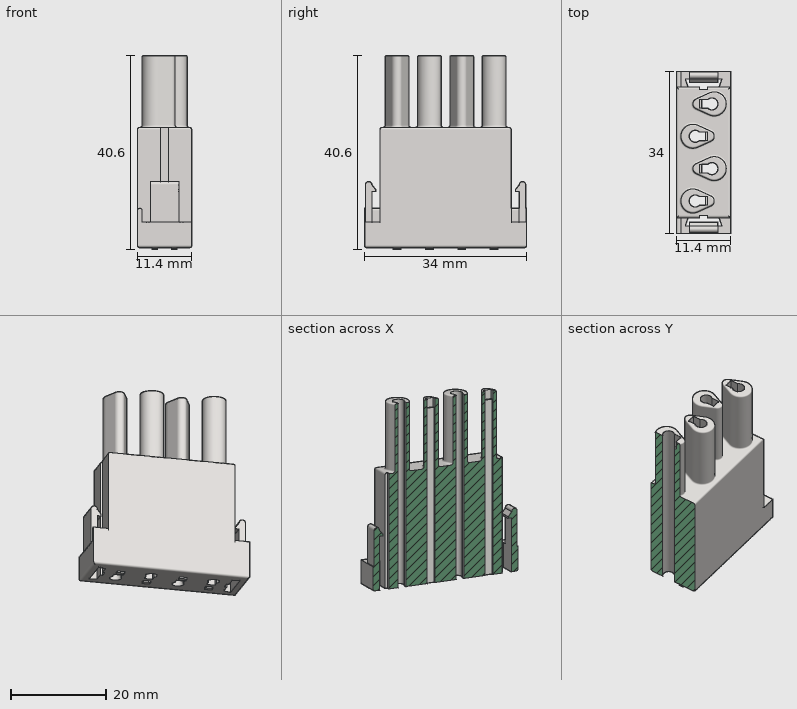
import cadquery as cq
import math

width = 11.4
length = 34.0
height = 40.6

pad_height = 0.32
body_top = 25.58
floor_level = 5.72
rail_top = 8.6

body_length = 27.53
top_round = 0.53
bottom_round = 0.5
rail_width = 1.0

pin_count = 4
pin_pitch = 6.8
sleeve_radius = 2.5
sleeve_offset = 2.25
tip_radius = 1.15
tip_distance = 3.33
sleeve_top_round = 0.32
sleeve_base_round = 0.35

bore_diameter = 2.48
bore_shift = 0.5
slot_height = 1.8
slot_end = 3.05
ledge_length = 0.45
ledge_depth = 2.05

groove_width = 1.62
opening_outer_width = 7.65
opening_inner_width = 6.5

latch_width = 5.95
latch_outer = 16.8
latch_inner = 15.4
latch_tip = 14.6
latch_top = 14.2
latch_top_radius = 0.7
hook_bottom = 12.1
hook_top = 12.5

pad_width = 1.15
pad_length = 1.62
pad_offset = 2.05

half_width = width / 2
half_body = body_length / 2
half_length = length / 2


def block(x_min, x_max, y_min, y_max, z_min, z_max):
    """Box given by its limits along each axis."""
    size = (x_max - x_min, y_max - y_min, z_max - z_min)
    return cq.Workplane("XY").box(*size, centered=False).translate((x_min, y_min, z_min))


def make_housing():
    """Tall body on a longer base that carries a low round-topped rail along the -X side."""
    body = block(-half_width, half_width, -half_body, half_body, floor_level, body_top)
    body = body.faces(">Z").edges().fillet(top_round)
    base = block(-half_width, half_width, -half_length, half_length, pad_height, floor_level)
    base = base.faces("<Z").edges().fillet(bottom_round)
    rail_inside = rail_width - half_width
    rail_shoulder = rail_top - rail_width / 2
    rail = (
        cq.Workplane("XZ", origin=(0, half_length, 0))
        .moveTo(-half_width, floor_level)
        .lineTo(-half_width, rail_shoulder)
        .threePointArc((rail_width / 2 - half_width, rail_top), (rail_inside, rail_shoulder))
        .lineTo(rail_inside, floor_level)
        .close()
        .extrude(length)
    )
    return body.union(base).union(rail)


def sleeve_outline():
    """Teardrop: a large and a small arc joined by their common tangents, tip toward +X."""
    slope = (sleeve_radius - tip_radius) / tip_distance
    rise = math.sqrt(1 - slope**2)
    big_x, big_y = sleeve_radius * slope, sleeve_radius * rise
    tip_x, tip_y = tip_distance + tip_radius * slope, tip_radius * rise
    return (
        cq.Workplane("XY", origin=(0, 0, body_top))
        .moveTo(big_x, big_y)
        .threePointArc((-sleeve_radius, 0), (big_x, -big_y))
        .lineTo(tip_x, -tip_y)
        .threePointArc((tip_distance + tip_radius, 0), (tip_x, tip_y))
        .close()
    )


def pin_angle(index):
    """Sleeve tips point alternately toward +X and -X."""
    return 180 * (index % 2)


def place_pin(shape, index):
    """Move a shape drawn about the round centre of a sleeve to its place in the row."""
    y = (index - (pin_count - 1) / 2) * pin_pitch
    shape = shape.translate((-sleeve_offset, 0, 0))
    return shape.rotate((0, 0, 0), (0, 0, 1), pin_angle(index)).translate((0, y, 0))


def make_sleeve():
    sleeve = sleeve_outline().extrude(height - body_top)
    return sleeve.faces(">Z").edges().fillet(sleeve_top_round)


def make_keyhole():
    """Round bore with a side slot through everything, and a ledge at the slot's end."""
    bore = cq.Workplane("XY").center(bore_shift, 0).circle(bore_diameter / 2).extrude(height)
    half_slot = slot_height / 2
    slot = block(bore_shift, slot_end - ledge_length, -half_slot, half_slot, 0, height)
    ledge = block(bore_shift, slot_end, -half_slot, half_slot, height - ledge_depth, height)
    return bore.union(slot).union(ledge)


def make_pad():
    """Raised pad under the housing, on the tip side of a sleeve."""
    pad_x = sleeve_offset + pad_offset
    half_pad = pad_width / 2
    return block(pad_x - half_pad, pad_x + half_pad, -pad_length / 2, pad_length / 2, 0, pad_height)


def make_groove():
    """Full-height groove in the middle of the -Y end face."""
    half_groove = groove_width / 2
    return block(-half_groove, half_groove, -half_body, top_round - half_body, 0, body_top)


def make_opening():
    """Opening through the base between the -Y end face and the latch."""
    half_inner, half_outer = opening_inner_width / 2, opening_outer_width / 2
    outline = [
        (-half_inner, -half_body),
        (half_inner, -half_body),
        (half_outer, -latch_inner),
        (-half_outer, -latch_inner),
    ]
    return cq.Workplane("XY").polyline(outline).close().extrude(floor_level)


def make_latch():
    """Hooked latch standing on the -Y end of the base."""
    arc_centre = latch_top_radius - latch_outer
    arc_level = latch_top - latch_top_radius
    return (
        cq.Workplane("YZ", origin=(-latch_width / 2, 0, 0))
        .moveTo(-latch_outer, floor_level)
        .lineTo(-latch_outer, arc_level)
        .threePointArc((arc_centre, latch_top), (arc_centre + latch_top_radius, arc_level))
        .lineTo(-latch_tip, hook_top)
        .lineTo(-latch_tip, hook_bottom)
        .lineTo(-latch_inner, hook_bottom)
        .lineTo(-latch_inner, floor_level)
        .close()
        .extrude(latch_width)
    )


def at_both_ends(shape):
    """The shape together with its mirror image at the +Y end."""
    return shape.union(shape.mirror("XZ"))


part = make_housing()
part = part.cut(at_both_ends(make_groove()))
part = part.cut(at_both_ends(make_opening()))
part = part.union(at_both_ends(make_latch()))

for pin in range(pin_count):
    part = part.union(place_pin(make_sleeve(), pin))

tolerance = 0.05
flat_x = half_width - top_round - tolerance
flat_y = half_body - top_round - tolerance
root_level = cq.selectors.BoxSelector(
    (-flat_x, -flat_y, body_top - tolerance),
    (flat_x, flat_y, body_top + tolerance),
    boundingbox=True,
)
part = part.edges(root_level).fillet(sleeve_base_round)

for pin in range(pin_count):
    part = part.cut(place_pin(make_keyhole(), pin))
    part = part.union(place_pin(make_pad(), pin))

result = part